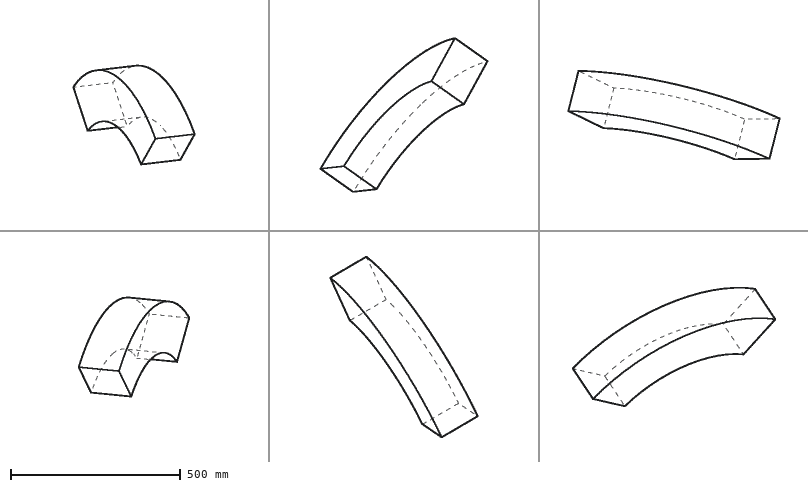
import cadquery as cq

span = 613.0
depth = 127.0
height = 223.5
outer_rise = 116.5
end_drop = height - outer_rise
inner_rise = 71.0

outer_half = span / 2
inner_half = outer_half - end_drop

profile = (
    cq.Workplane("XZ")
    .moveTo(-outer_half, end_drop)
    .threePointArc((0, height), (outer_half, end_drop))
    .lineTo(inner_half, 0)
    .threePointArc((0, inner_rise), (-inner_half, 0))
    .close()
)

result = profile.extrude(depth / 2, both=True)